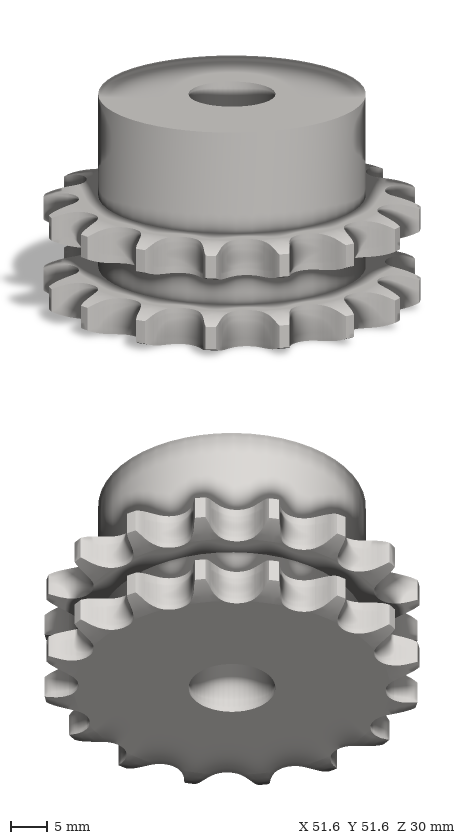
import cadquery as cq
import math


tooth_count = 16
chain_pitch = 9.55
roller_diameter = 6.35
seat_clearance = 0.038
overall_width = 51.55

disc_thickness = 5.2
strand_spacing = 10.25
disc_count = 2
side_rounding_radius = 10.0
side_rounding_depth = 1.0

hub_diameter = 37.0
hub_height = 30.0
bore_diameter = 12.0

half_tooth_angle = math.pi / tooth_count
seat_end_angle = math.radians(35 + 60 / tooth_count)
working_sweep = math.radians(18 - 56 / tooth_count)
topping_angle = math.radians(17 - 64 / tooth_count)
working_end_angle = seat_end_angle - working_sweep

pitch_radius = chain_pitch / (2 * math.sin(half_tooth_angle))
seat_radius = 0.5025 * roller_diameter + seat_clearance / 2
working_offset = 0.8 * roller_diameter
working_radius = seat_radius + working_offset
topping_offset = 1.4 * roller_diameter
straight_length = topping_offset * math.sin(topping_angle) - working_offset * math.sin(working_sweep)
topping_radius = (
    working_offset * math.cos(working_sweep)
    + topping_offset * math.cos(topping_angle)
    - working_radius
)

seat_center = (0, pitch_radius)
working_center = (
    -working_offset * math.cos(seat_end_angle),
    pitch_radius + working_offset * math.sin(seat_end_angle),
)
topping_center = (
    topping_offset * math.cos(half_tooth_angle),
    pitch_radius - topping_offset * math.sin(half_tooth_angle),
)

tip_y = overall_width / 2
tip_rise_angle = math.asin((tip_y - topping_center[1]) / topping_radius)
tip_x = topping_center[0] - topping_radius * math.cos(tip_rise_angle)
tip_radius = math.hypot(tip_x, tip_y)


def arc_point(center, radius, angle):
    """Point on a circle, with the angle counterclockwise from +X."""
    return (center[0] + radius * math.cos(angle), center[1] + radius * math.sin(angle))


def half_gap_cutter():
    """Right half of the tooth gap on +Y: seat, working curve, straight, topping curve."""
    root = (0, pitch_radius - seat_radius)
    seat_middle = arc_point(seat_center, seat_radius, -(math.pi / 2 + seat_end_angle) / 2)
    seat_end = arc_point(seat_center, seat_radius, -seat_end_angle)
    working_middle = arc_point(working_center, working_radius, -(seat_end_angle + working_end_angle) / 2)
    working_end = arc_point(working_center, working_radius, -working_end_angle)
    straight_end = (
        working_end[0] + straight_length * math.sin(working_end_angle),
        working_end[1] + straight_length * math.cos(working_end_angle),
    )
    topping_start_angle = math.pi - working_end_angle
    topping_end_angle = math.pi - tip_rise_angle
    topping_middle = arc_point(
        topping_center, topping_radius, (topping_start_angle + topping_end_angle) / 2
    )
    beyond_tip = tip_radius + roller_diameter
    return (
        cq.Workplane("XY")
        .moveTo(*root)
        .threePointArc(seat_middle, seat_end)
        .threePointArc(working_middle, working_end)
        .lineTo(*straight_end)
        .threePointArc(topping_middle, (tip_x, tip_y))
        .lineTo(tip_x, beyond_tip)
        .lineTo(0, beyond_tip)
        .close()
        .extrude(hub_height)
    )


def disc_blank(base_z):
    """Toothless disc whose rim is rounded on both faces."""
    flat_radius = tip_radius - math.sqrt(
        side_rounding_radius**2 - (side_rounding_radius - side_rounding_depth) ** 2
    )
    middle_radius = (flat_radius + tip_radius) / 2
    middle_depth = side_rounding_radius - math.sqrt(
        side_rounding_radius**2 - (middle_radius - flat_radius) ** 2
    )
    section = (
        cq.Workplane("XZ")
        .lineTo(flat_radius, 0)
        .threePointArc((middle_radius, middle_depth), (tip_radius, side_rounding_depth))
        .lineTo(tip_radius, disc_thickness - side_rounding_depth)
        .threePointArc((middle_radius, disc_thickness - middle_depth), (flat_radius, disc_thickness))
        .lineTo(0, disc_thickness)
        .close()
    )
    return section.revolve(360, (0, 0, 0), (0, 1, 0)).translate((0, 0, base_z))


def cut_teeth(body):
    """Cut every tooth gap through all discs at once."""
    right_half = half_gap_cutter()
    gap_solid = right_half.union(right_half.mirror("YZ")).val()
    gaps = [
        gap_solid.rotate((0, 0, 0), (0, 0, 1), index * 360 / tooth_count)
        for index in range(tooth_count)
    ]
    return body.cut(cq.Workplane(cq.Compound.makeCompound(gaps)))


sprocket = cq.Workplane("XY").circle(hub_diameter / 2).extrude(hub_height)
for disc_index in range(disc_count):
    sprocket = sprocket.union(disc_blank(disc_index * strand_spacing))
sprocket = cut_teeth(sprocket)

bore = cq.Workplane("XY").circle(bore_diameter / 2).extrude(hub_height)
result = sprocket.cut(bore)